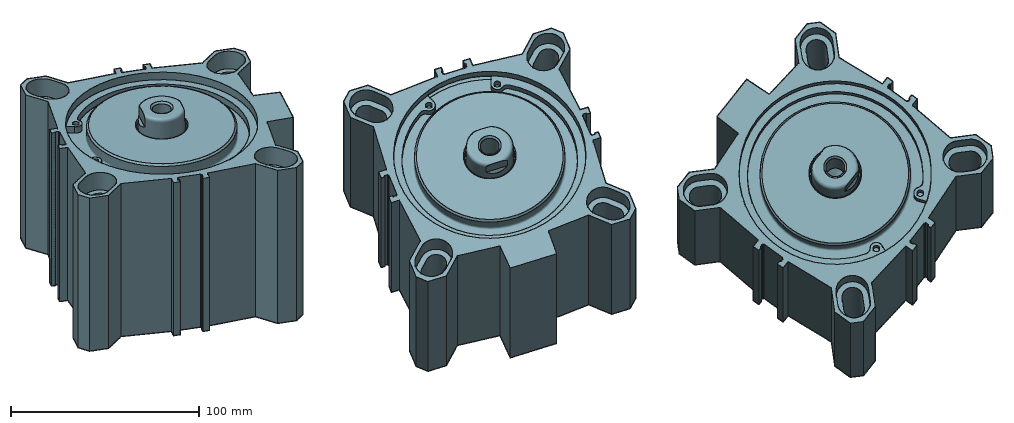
import cadquery as cq
import math

HOUSING_HEIGHT = 96.0
LUG_REACH = 62.03
LUG_CHAMFER = 5.0
LUG_FLAT_INNER = 46.6
NOTCH_ALONG = 37.1
NOTCH_OUT = 52.4
WALL_REACH = 54.6

BLOCK_REACH = 68.97
BLOCK_TIP_HALF = 13.1
BLOCK_ROOT_HALF = 13.8

RAIL_REACH = 59.1
RAIL_OUTER = 10.0
RAIL_INNER = 6.2
UNDERCUT_INNER = 6.8
UNDERCUT_START = 55.2
UNDERCUT_END = 56.9

SLOT_CENTRE = 49.3
SLOT_ARC_PITCH = 4.3 * math.sqrt(2)
SLOT_WIDTH = 11.0
COUNTERBORE_WIDTH = 17.4
COUNTERBORE_DEPTH = 11.0

BORE_DIAMETER = 102.2
GROOVE_DIAMETER = 106.2
RING_DEPTH = 4.7
RING_THICKNESS = 3.9
RING_INNER_RADIUS = 46.6
RING_EAR_RADIUS = 3.4
RING_EAR_PITCH_RADIUS = 46.2
RING_EAR_ANGLE = 24.7
RING_EAR_HOLE = 3.5
RING_EAR_BLEND = 3.3

COVER_BOSS_DIAMETER = 80.0
COVER_BOSS_DROP = 1.0
COVER_BOSS_CHAMFER = 1.0
COVER_BOSS_FOOT_FILLET = 1.0
COVER_FLANGE_THICKNESS = 19.6
ROD_PASSAGE_DIAMETER = 25.5
WIPER_RECESS_DIAMETER = 26.9
WIPER_MOUTH_DIAMETER = 28.0
WIPER_RECESS_DEPTH = 5.0

ROD_DIAMETER = 25.0
ROD_PROTRUSION = 10.0
ROD_END_FILLET = 1.8
ROD_FLAT_HALF = 11.0
ROD_FLAT_LENGTH = 7.0
ROD_HOLE_DIAMETER = 10.1
ROD_HOLE_MOUTH = 12.2
ROD_HOLE_DEPTH = 18.0
DRILL_POINT_ANGLE = 118.0

RING_TOP = HOUSING_HEIGHT - RING_DEPTH
FLANGE_TOP = RING_TOP - RING_THICKNESS
BORE_FLOOR = FLANGE_TOP - COVER_FLANGE_THICKNESS
BOSS_TOP = HOUSING_HEIGHT - COVER_BOSS_DROP
ROD_TOP = HOUSING_HEIGHT + ROD_PROTRUSION


def disc(diameter, bottom, top):
    """Upright cylinder on the Z axis between two heights."""
    return cq.Workplane("XY").workplane(offset=bottom).circle(diameter / 2).extrude(top - bottom)


def revolved(profile):
    """Turn a closed (radius, z) outline about the Z axis."""
    return cq.Workplane("XZ").polyline(profile).close().revolve(360, (0, 0), (0, 1))


def full_height(outline):
    """Closed XY outline extruded over the housing height."""
    return cq.Workplane("XY").polyline(outline).close().extrude(HOUSING_HEIGHT)


def turned(shape, angle):
    """Rotate about the Z axis."""
    return shape.rotate((0, 0, 0), (0, 0, 1), angle)


def housing_core():
    """Square tube profile with slightly peaked walls and four chamfered corner lugs."""
    half_side = [
        (RAIL_OUTER, WALL_REACH),
        (NOTCH_ALONG, NOTCH_OUT),
        (LUG_FLAT_INNER, LUG_REACH),
        (LUG_REACH - LUG_CHAMFER, LUG_REACH),
    ]
    side = [(-x, y) for x, y in reversed(half_side)] + half_side
    outline = []
    for _ in range(4):
        outline += side
        side = [(y, -x) for x, y in side]
    return full_height(outline)


def port_block():
    """Drafted block on the +Y wall."""
    return full_height([
        (-BLOCK_ROOT_HALF, NOTCH_OUT),
        (-BLOCK_TIP_HALF, BLOCK_REACH),
        (BLOCK_TIP_HALF, BLOCK_REACH),
        (BLOCK_ROOT_HALF, NOTCH_OUT),
    ])


def rail_pair():
    """Two facing undercut rails on the -Y wall."""
    rail = full_height([
        (RAIL_OUTER, -WALL_REACH),
        (RAIL_OUTER, -RAIL_REACH),
        (RAIL_INNER, -RAIL_REACH),
        (RAIL_INNER, -UNDERCUT_END),
        (UNDERCUT_INNER, -UNDERCUT_END),
        (UNDERCUT_INNER, -UNDERCUT_START),
        (RAIL_INNER, -UNDERCUT_START),
        (RAIL_INNER, -WALL_REACH),
    ])
    return rail.union(rail.mirror("YZ"))


def bolt_slot():
    """Counterbored slot through the +X +Y lug, lying along the diagonal."""
    def slot(width, depth):
        return (
            cq.Workplane("XY").workplane(offset=HOUSING_HEIGHT)
            .center(SLOT_CENTRE, SLOT_CENTRE)
            .slot2D(SLOT_ARC_PITCH + width, width, 45)
            .extrude(-depth)
        )
    return slot(SLOT_WIDTH, HOUSING_HEIGHT).union(slot(COUNTERBORE_WIDTH, COUNTERBORE_DEPTH))


def make_housing():
    body = housing_core().union(port_block())
    for angle in (-90, 0, 90):
        body = body.union(turned(rail_pair(), angle))
    for corner in range(4):
        body = body.cut(turned(bolt_slot(), 90 * corner))
    body = body.cut(disc(BORE_DIAMETER, BORE_FLOOR, HOUSING_HEIGHT))
    return body.cut(disc(GROOVE_DIAMETER, FLANGE_TOP, RING_TOP))


def make_retaining_ring():
    """Ring filling the groove, open towards -Y, with a pierced ear beside each end."""
    def plate():
        return cq.Workplane("XY").workplane(offset=FLANGE_TOP)

    end_angle = RING_EAR_ANGLE - math.degrees(math.asin(RING_EAR_RADIUS / RING_EAR_PITCH_RADIUS))
    opening_length = GROOVE_DIAMETER
    opening_half = opening_length * math.tan(math.radians(end_angle))
    opening = (
        plate()
        .polyline([(0, 0), (-opening_half, -opening_length), (opening_half, -opening_length)])
        .close().extrude(RING_THICKNESS)
    )
    ring = plate().circle(GROOVE_DIAMETER / 2).circle(RING_INNER_RADIUS).extrude(RING_THICKNESS)
    ring = ring.cut(opening)

    ear_x = RING_EAR_PITCH_RADIUS * math.sin(math.radians(RING_EAR_ANGLE))
    ear_y = -RING_EAR_PITCH_RADIUS * math.cos(math.radians(RING_EAR_ANGLE))
    ear_centres = [(-ear_x, ear_y), (ear_x, ear_y)]
    ring = ring.union(plate().pushPoints(ear_centres).circle(RING_EAR_RADIUS).extrude(RING_THICKNESS))

    corner_swing = 2 * math.degrees(math.asin(RING_EAR_RADIUS / (2 * RING_INNER_RADIUS)))
    corner_angle = math.radians(RING_EAR_ANGLE + corner_swing)
    corner_x = RING_INNER_RADIUS * math.sin(corner_angle)
    corner_y = -RING_INNER_RADIUS * math.cos(corner_angle)
    for x in (-corner_x, corner_x):
        corner = cq.selectors.NearestToPointSelector((x, corner_y, FLANGE_TOP + RING_THICKNESS / 2))
        ring = ring.edges("|Z").edges(corner).fillet(RING_EAR_BLEND)

    holes = plate().pushPoints(ear_centres).circle(RING_EAR_HOLE / 2).extrude(RING_THICKNESS)
    return ring.cut(holes)


def make_rod_cover():
    """Flanged cover with a raised boss, bored for the rod and recessed around it."""
    flange = disc(BORE_DIAMETER, BORE_FLOOR, FLANGE_TOP)
    cover = flange.union(disc(COVER_BOSS_DIAMETER, FLANGE_TOP, BOSS_TOP))
    cover = cover.faces(">Z").edges().chamfer(COVER_BOSS_CHAMFER)
    foot = cq.selectors.NearestToPointSelector((0, 0, FLANGE_TOP))
    cover = cover.edges(cq.selectors.RadiusNthSelector(1)).edges(foot).fillet(COVER_BOSS_FOOT_FILLET)

    mouth_chamfer = (WIPER_MOUTH_DIAMETER - WIPER_RECESS_DIAMETER) / 2
    recess_floor = BOSS_TOP - WIPER_RECESS_DEPTH
    rod_passage = revolved([
        (0, BORE_FLOOR),
        (ROD_PASSAGE_DIAMETER / 2, BORE_FLOOR),
        (ROD_PASSAGE_DIAMETER / 2, recess_floor),
        (WIPER_RECESS_DIAMETER / 2, recess_floor),
        (WIPER_RECESS_DIAMETER / 2, BOSS_TOP - mouth_chamfer),
        (WIPER_MOUTH_DIAMETER / 2, BOSS_TOP),
        (0, BOSS_TOP),
    ])
    return cover.cut(rod_passage)


def wrench_flat():
    """Material removed for the -Y flat, which runs out below at 45 degrees."""
    rod_radius = ROD_DIAMETER / 2
    flat_bottom = ROD_TOP - ROD_FLAT_LENGTH
    runout = rod_radius - ROD_FLAT_HALF
    return (
        cq.Workplane("YZ")
        .polyline([
            (-ROD_FLAT_HALF, ROD_TOP),
            (-ROD_FLAT_HALF, flat_bottom),
            (-rod_radius, flat_bottom - runout),
            (-rod_radius, ROD_TOP),
        ])
        .close().extrude(rod_radius, both=True)
    )


def rod_end_hole():
    """Blind hole with a chamfered mouth and a drill point."""
    hole_radius = ROD_HOLE_DIAMETER / 2
    mouth_radius = ROD_HOLE_MOUTH / 2
    hole_floor = ROD_TOP - ROD_HOLE_DEPTH
    point_length = hole_radius / math.tan(math.radians(DRILL_POINT_ANGLE / 2))
    return revolved([
        (0, hole_floor - point_length),
        (hole_radius, hole_floor),
        (hole_radius, ROD_TOP - (mouth_radius - hole_radius)),
        (mouth_radius, ROD_TOP),
        (0, ROD_TOP),
    ])


def make_piston_rod():
    rod = disc(ROD_DIAMETER, BORE_FLOOR, ROD_TOP)
    rod = rod.faces(">Z").edges().fillet(ROD_END_FILLET)
    for angle in (0, 180):
        rod = rod.cut(turned(wrench_flat(), angle))
    return rod.cut(rod_end_hole())


housing = make_housing()
retaining_ring = make_retaining_ring()
rod_cover = make_rod_cover()
piston_rod = make_piston_rod()

result = cq.Compound.makeCompound([
    housing.val(),
    retaining_ring.val(),
    rod_cover.val(),
    piston_rod.val(),
])